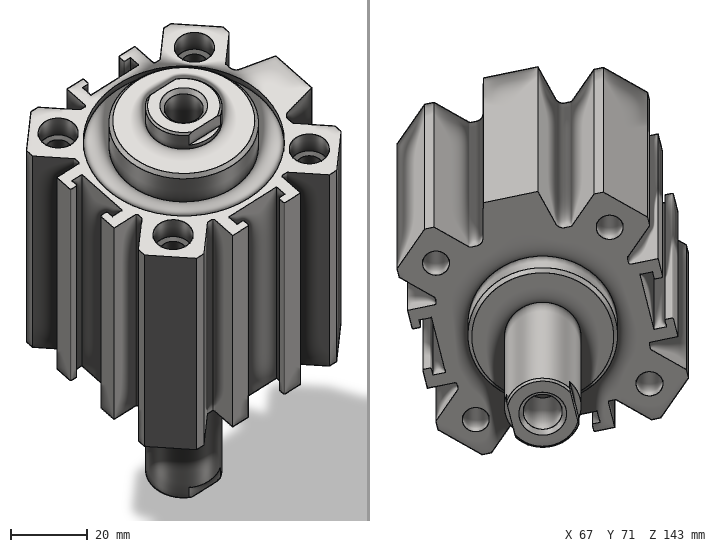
import cadquery as cq
import math

rod_length = 143.0
barrel_bottom = 54.2
barrel_height = 75.0
barrel_top = barrel_bottom + barrel_height
collar_height = 8.0
collar_bottom = barrel_bottom - collar_height
collar_top = barrel_top + collar_height

barrel_width = 67.0
half_width = barrel_width / 2
core_half = 25.7
notch_fillet = 0.6

hole_spacing = 46.5
hole_offset = hole_spacing / 2
lug_width = 17.2
lug_reach = 40.6
lug_hole_diameter = 7.0
counterbore_diameter = 10.5
counterbore_depth = 6.6

slot_rib_half = 11.6
slot_half = 8.2
slot_mouth_half = 6.0
slot_floor = 27.9
lip_thickness = 2.3
lip_fillet = 0.5

barrel_depth = 71.0
taper_tip = barrel_depth - half_width
taper_tip_half = 7.3
taper_root_half = 10.2
taper_fillet = 2.1

collar_diameter = 39.0
collar_chamfer = 1.0
recess_diameter = 52.5
recess_depth = 2.0

rod_diameter = 20.0
rod_chamfer = 0.6
flat_spacing = 16.9
flat_length = 4.5
rod_hole_diameter = 10.2
rod_hole_depth = 20.0
rod_hole_chamfer = 1.1
countersink_angle = 90

edge_reach = 0.1

lug_angles = (45, 135, 225, 315)
slot_rib_angles = (0, 180, 270)


def barrel_box(x_min, x_max, y_half):
    """Block of barrel height, symmetric about the X axis."""
    return (
        cq.Workplane("XY", origin=(0, 0, barrel_bottom))
        .center((x_min + x_max) / 2, 0)
        .rect(x_max - x_min, 2 * y_half)
        .extrude(barrel_height)
    )


def cylinder(diameter, bottom, top):
    """Upright cylinder on the axis between two heights."""
    return cq.Workplane("XY", origin=(0, 0, bottom)).circle(diameter / 2).extrude(top - bottom)


def turned(shape, angle):
    """Copy of a shape turned about the cylinder axis."""
    return shape.rotate((0, 0, 0), (0, 0, 1), angle)


def upright_edge(x, y):
    """Selector for the barrel edge that runs along Z at (x, y)."""
    return cq.selectors.BoxSelector(
        (x - edge_reach, y - edge_reach, barrel_bottom),
        (x + edge_reach, y + edge_reach, barrel_top),
    )


def make_core_with_lugs():
    """Square core and four diagonal lugs with their outer corners trimmed to the barrel square."""
    lug = barrel_box(0, lug_reach, lug_width / 2)
    body = barrel_box(-core_half, core_half, core_half)
    for angle in lug_angles:
        body = body.union(turned(lug, angle))
    return body.intersect(barrel_box(-half_width, half_width, half_width))


def make_slotted_rib():
    """Rib on the +X side with a T-shaped slot along its length."""
    rib = barrel_box(0, half_width, slot_rib_half)
    rib = rib.cut(barrel_box(slot_floor, half_width - lip_thickness, slot_half))
    rib = rib.cut(barrel_box(slot_floor, half_width, slot_mouth_half))
    for side in (-1, 1):
        for x in (half_width - lip_thickness, half_width):
            rib = rib.edges(upright_edge(x, side * slot_mouth_half)).fillet(lip_fillet)
    return rib


def make_tapered_rib():
    """Solid rib on the +Y side that narrows towards its tip."""
    return (
        cq.Workplane("XY", origin=(0, 0, barrel_bottom))
        .polyline(
            [
                (-taper_root_half, core_half),
                (taper_root_half, core_half),
                (taper_tip_half, taper_tip),
                (-taper_tip_half, taper_tip),
            ]
        )
        .close()
        .extrude(barrel_height)
    )


def round_notches(barrel):
    """Round the inner corners between the lugs and the ribs."""
    lug_foot = core_half - lug_width / math.sqrt(2)
    for side in (-1, 1):
        for foot in (slot_rib_half, lug_foot):
            for end in (-1, 1):
                barrel = barrel.edges(upright_edge(side * core_half, end * foot)).fillet(notch_fillet)
            barrel = barrel.edges(upright_edge(side * foot, -core_half)).fillet(notch_fillet)
        barrel = barrel.edges(upright_edge(side * lug_foot, core_half)).fillet(notch_fillet)
        barrel = barrel.edges(upright_edge(side * taper_root_half, core_half)).fillet(taper_fillet)
    return barrel


def make_barrel():
    """Extruded barrel section with lugs and ribs."""
    barrel = make_core_with_lugs().union(make_tapered_rib())
    slotted_rib = make_slotted_rib()
    for angle in slot_rib_angles:
        barrel = barrel.union(turned(slotted_rib, angle))
    return round_notches(barrel)


def make_collars():
    """One cylinder through the barrel, standing out as a chamfered collar at each end."""
    return cylinder(collar_diameter, collar_bottom, collar_top).edges().chamfer(collar_chamfer)


def make_mounting_hole():
    """Cutter for one through hole with a counterbore at the top of the barrel."""
    hole = cylinder(lug_hole_diameter, barrel_bottom, barrel_top)
    return hole.union(cylinder(counterbore_diameter, barrel_top - counterbore_depth, barrel_top))


def make_housing():
    """Barrel and collars with the end recess, mounting holes and rod bore."""
    housing = make_barrel()
    housing = housing.cut(cylinder(recess_diameter, barrel_top - recess_depth, barrel_top))
    housing = housing.union(make_collars())
    housing = housing.cut(cylinder(rod_diameter, collar_bottom, collar_top))
    mounting_hole = make_mounting_hole()
    for x in (-hole_offset, hole_offset):
        for y in (-hole_offset, hole_offset):
            housing = housing.cut(mounting_hole.translate((x, y, 0)))
    return housing


def make_rod():
    """Through rod, the same at both ends: a chamfered edge, a blind hole and two flats."""
    rod = cylinder(rod_diameter, 0, rod_length).edges().chamfer(rod_chamfer)
    for end in (">Z", "<Z"):
        rod = rod.faces(end).workplane().cskHole(
            rod_hole_diameter, rod_hole_diameter + 2 * rod_hole_chamfer, countersink_angle, rod_hole_depth
        )
    flat_cut = rod_diameter / 2
    cutter = cq.Workplane("XY").box(flat_cut, rod_diameter, flat_length)
    for x in (-1, 1):
        for z in (flat_length / 2, rod_length - flat_length / 2):
            rod = rod.cut(cutter.translate((x * (flat_spacing + flat_cut) / 2, 0, z)))
    return rod


housing = make_housing()
rod = make_rod()
result = cq.Compound.makeCompound([housing.val(), rod.val()])